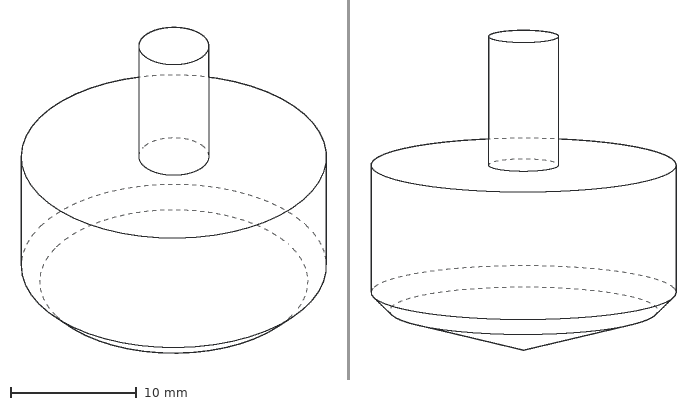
import cadquery as cq

total_height = 25.4
body_diameter = 24.3
stem_diameter = 5.6

stem_length = 10.41
cone_height = 3.2
bevel_size = 1.47

bevel_bottom = cone_height
bevel_top = bevel_bottom + bevel_size
shoulder = total_height - stem_length

body_radius = body_diameter / 2
stem_radius = stem_diameter / 2
cone_radius = body_radius - bevel_size

profile = (
    cq.Workplane("XZ")
    .moveTo(0, 0)
    .lineTo(cone_radius, bevel_bottom)
    .lineTo(body_radius, bevel_top)
    .lineTo(body_radius, shoulder)
    .lineTo(stem_radius, shoulder)
    .lineTo(stem_radius, total_height)
    .lineTo(0, total_height)
    .close()
)

result = profile.revolve(360, (0, 0, 0), (0, 1, 0))